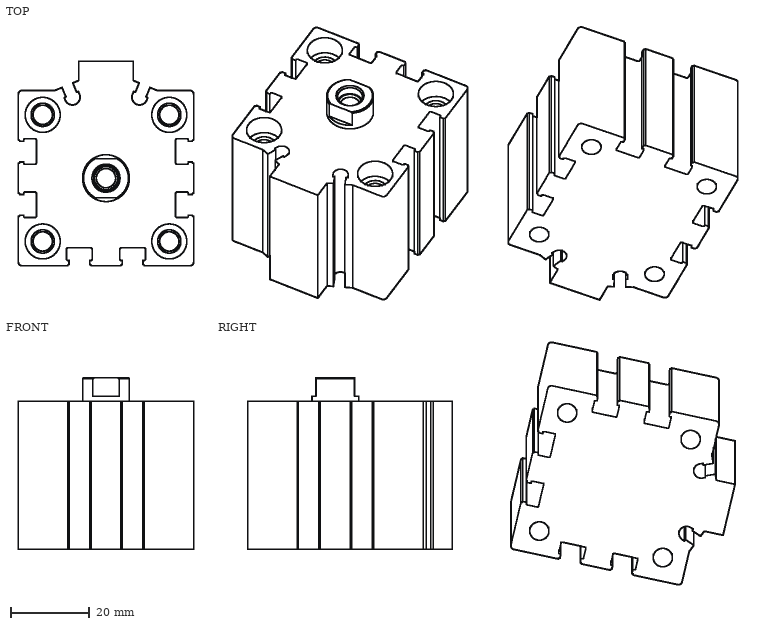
import cadquery as cq
import math

housing_side = 45.0
housing_height = 37.95
overall_length = 52.5
corner_radius = 1.0
tab_width = 14.0
half_side = housing_side / 2
half_tab = tab_width / 2
tab_end = overall_length - half_side

slot_offset = 6.8
slot_depth = 4.6
slot_width = 6.5
slot_radius = 0.3
mouth_width = 5.25
lip_thickness = 1.4
lip_radius = 0.35

groove_tilt = 22.5
groove_x = 8.6
groove_y = 20.75
groove_width = 3.9
groove_ledge = 0.75
groove_neck_width = 2.95
groove_mouth = 3.35

mount_offset = 16.2
mount_hole_radius = 4.95 / 2
mount_lead_in_radius = 6.0 / 2
counterbore_radius = 9.0 / 2
counterbore_depth = 5.55

rod_radius = 12.0 / 2
rod_top = 44.0
rod_insertion = 10.0
rod_chamfer = 0.25
rod_bottom = housing_height - rod_insertion
rod_length = rod_top - rod_bottom
flats_width = 9.9
flats_length = 4.7

rod_hole_radius = 4.95 / 2
rod_hole_depth = 10.5
rod_lead_in_radius = 6.0 / 2
rod_bore_radius = 6.4 / 2
rod_bore_depth = 2.6
rod_mouth_radius = 7.2 / 2
drill_point_half_angle = math.radians(59)


def revolve_profile(points):
    """Solid of revolution about Z from (radius, height) points."""
    return cq.Workplane("XZ").polyline(points).close().revolve(360, (0, 0, 0), (0, 1, 0))


def t_slot():
    """Cutter for a T-slot in the -Y face, centred on X = 0, with rounded lips."""
    channel_depth = slot_depth - lip_thickness
    channel = (
        cq.Workplane("XY")
        .center(0, lip_thickness + channel_depth / 2 - half_side)
        .rect(slot_width, channel_depth)
        .extrude(housing_height)
        .edges("|Z")
        .fillet(slot_radius)
    )
    half_mouth = mouth_width / 2
    mouth = (
        cq.Workplane("XY")
        .moveTo(-half_mouth - lip_radius, -half_side)
        .radiusArc((-half_mouth, lip_radius - half_side), lip_radius)
        .lineTo(-half_mouth, slot_depth / 2 - half_side)
        .lineTo(half_mouth, slot_depth / 2 - half_side)
        .lineTo(half_mouth, lip_radius - half_side)
        .radiusArc((half_mouth + lip_radius, -half_side), lip_radius)
        .close()
        .extrude(housing_height)
    )
    return channel.union(mouth)


def sensor_groove():
    """Cutter for the groove on the +X side of the tab: a round-bottomed channel and a narrower neck."""
    radius = groove_width / 2
    channel = (
        cq.Workplane("XY")
        .moveTo(-radius, groove_ledge)
        .lineTo(-radius, 0)
        .threePointArc((0, -radius), (radius, 0))
        .lineTo(radius, groove_ledge)
        .close()
        .extrude(housing_height)
    )
    neck = (
        cq.Workplane("XY")
        .center(0, groove_mouth / 2)
        .rect(groove_neck_width, groove_mouth)
        .extrude(housing_height)
    )
    groove = channel.union(neck).rotate((0, 0, 0), (0, 0, 1), -groove_tilt)
    return groove.translate((groove_x, groove_y, 0))


def tab_with_shoulders():
    """Tab on the +Y face, with sloping shoulders square to the sensor grooves."""
    tilt = math.radians(groove_tilt)
    mouth_x = groove_x + groove_mouth * math.sin(tilt)
    mouth_y = groove_y + groove_mouth * math.cos(tilt)
    shoulder_top = mouth_y + (mouth_x - half_tab) * math.tan(tilt)
    shoulder_end = mouth_x + (mouth_y - half_side) / math.tan(tilt)
    return (
        cq.Workplane("XY")
        .moveTo(-shoulder_end, 0)
        .lineTo(-shoulder_end, half_side)
        .lineTo(-half_tab, shoulder_top)
        .lineTo(-half_tab, tab_end)
        .lineTo(half_tab, tab_end)
        .lineTo(half_tab, shoulder_top)
        .lineTo(shoulder_end, half_side)
        .lineTo(shoulder_end, 0)
        .close()
        .extrude(housing_height)
    )


def mounting_hole():
    """Cutter for a through hole with a conical lead-in under a counterbore."""
    floor = housing_height - counterbore_depth
    lead_in_depth = mount_lead_in_radius - mount_hole_radius
    return revolve_profile([
        (0, 0),
        (mount_hole_radius, 0),
        (mount_hole_radius, floor - lead_in_depth),
        (mount_lead_in_radius, floor),
        (counterbore_radius, floor),
        (counterbore_radius, housing_height),
        (0, housing_height),
    ])


def rod_cylinder():
    """Plain rod envelope, which also cuts its seat in the housing."""
    return cq.Workplane("XY").workplane(offset=rod_bottom).circle(rod_radius).extrude(rod_length)


def rod_end_hole():
    """Cutter for the drilled hole with a lead-in, a wider bore and a chamfered mouth."""
    drill_shoulder = rod_top - rod_hole_depth
    drill_tip = drill_shoulder - rod_hole_radius / math.tan(drill_point_half_angle)
    bore_floor = rod_top - rod_bore_depth
    lead_in_depth = rod_lead_in_radius - rod_hole_radius
    mouth_depth = rod_mouth_radius - rod_bore_radius
    return revolve_profile([
        (0, drill_tip),
        (rod_hole_radius, drill_shoulder),
        (rod_hole_radius, bore_floor - lead_in_depth),
        (rod_lead_in_radius, bore_floor),
        (rod_bore_radius, bore_floor),
        (rod_bore_radius, rod_top - mouth_depth),
        (rod_mouth_radius, rod_top),
        (0, rod_top),
    ])


def make_housing():
    body = (
        cq.Workplane("XY")
        .rect(housing_side, housing_side)
        .extrude(housing_height)
        .edges("|Z")
        .fillet(corner_radius)
        .union(tab_with_shoulders())
    )

    slot = t_slot()
    for turn in (-90, 0, 90):
        for offset in (-slot_offset, slot_offset):
            body = body.cut(slot.translate((offset, 0, 0)).rotate((0, 0, 0), (0, 0, 1), turn))

    groove = sensor_groove()
    body = body.cut(groove).cut(groove.mirror("YZ"))

    hole = mounting_hole()
    for x in (-mount_offset, mount_offset):
        for y in (-mount_offset, mount_offset):
            body = body.cut(hole.translate((x, y, 0)))

    return body.cut(rod_cylinder())


def make_rod():
    rod = rod_cylinder().faces(">Z").edges().chamfer(rod_chamfer)

    flat_cutter = cq.Workplane("XY").box(2 * rod_radius, 2 * rod_radius, flats_length)
    flat_y = flats_width / 2 + rod_radius
    for y in (-flat_y, flat_y):
        rod = rod.cut(flat_cutter.translate((0, y, rod_top - flats_length / 2)))

    return rod.cut(rod_end_hole())


housing = make_housing()
rod = make_rod()
result = cq.Compound.makeCompound([housing.val(), rod.val()])